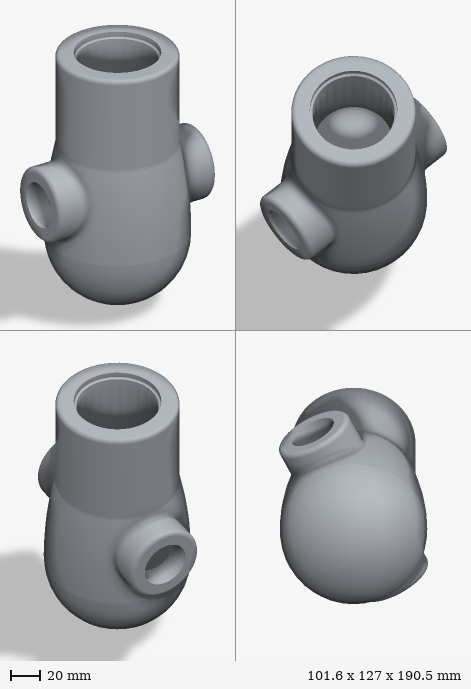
import math
import cadquery as cq

total_height = 190.5
body_radius = 50.8
neck_radius = 42.8
neck_length = 69.85
neck_base_z = total_height - neck_length
neck_rim_fillet = 3.2
neck_blend_radius = 8.0

boss_span = 127.0
boss_radius = 27.0
boss_axis_depth = 101.6
boss_axis_z = total_height - boss_axis_depth
boss_rim_fillet = 3.2
boss_root_fillet = 3.2

selection_margin = 1.0

taper_slope = 1 / 32
side_bore_mouth_radius = 16.4
side_bore_depth = 16.5

counterbore_radius = 30.2
counterbore_depth = 3.7
seat_depth = 0.8
neck_bore_radius = 28.4
neck_bore_length = 45.0


def make_body():
    """Revolve the outer profile about Z, blend the neck base and round the rim."""
    barrel_height = neck_base_z - body_radius
    radius_drop = body_radius - neck_radius
    barrel_arc_radius = (barrel_height**2 + radius_drop**2) / (2 * radius_drop)
    half_rise = barrel_height / 2
    barrel_mid_radius = body_radius - barrel_arc_radius + math.sqrt(barrel_arc_radius**2 - half_rise**2)
    diagonal = body_radius * math.sqrt(0.5)
    profile = (
        cq.Workplane("XZ")
        .moveTo(0, 0)
        .threePointArc((diagonal, body_radius - diagonal), (body_radius, body_radius))
        .threePointArc((barrel_mid_radius, body_radius + half_rise), (neck_radius, neck_base_z))
        .lineTo(neck_radius, total_height)
        .lineTo(0, total_height)
        .close()
    )
    body = profile.revolve(360, (0, 0, 0), (0, 1, 0))
    at_neck_base = cq.selectors.BoxSelector(
        (-body_radius, -body_radius, neck_base_z - selection_margin),
        (body_radius, body_radius, neck_base_z + selection_margin),
    )
    body = body.edges(at_neck_base).fillet(neck_blend_radius)
    return body.faces(">Z").edges().fillet(neck_rim_fillet)


def make_boss_bar():
    """Round bar along Y whose two ends form the side bosses."""
    return (
        cq.Workplane("XZ", origin=(0, 0, boss_axis_z))
        .circle(boss_radius)
        .extrude(boss_span / 2, both=True)
    )


def add_bosses(body):
    """Join the bosses to the body, blend their roots and round their rims."""
    joined = body.union(make_boss_bar())
    for side in (-1, 1):
        near_y = side * boss_radius / 2
        far_y = side * (boss_span / 2 - boss_rim_fillet)
        root_region = cq.selectors.BoxSelector(
            (-boss_radius, near_y, boss_axis_z - boss_radius),
            (boss_radius, far_y, boss_axis_z + boss_radius),
        )
        joined = joined.edges(root_region).edges("not %LINE").fillet(boss_root_fillet)
    return joined.faces("<Y or >Y").edges().fillet(boss_rim_fillet)


def tapered_plug(mouth_radius, depth, mouth_center, inward):
    """Cone narrowing inward at the pipe taper."""
    end_radius = mouth_radius - depth * taper_slope
    cone = cq.Solid.makeCone(mouth_radius, end_radius, depth, cq.Vector(*mouth_center), cq.Vector(*inward))
    return cq.Workplane(obj=cone)


def cut_side_bores(part):
    """Blind tapered bore in the end of each boss."""
    for side in (-1, 1):
        mouth = (0, side * boss_span / 2, boss_axis_z)
        part = part.cut(tapered_plug(side_bore_mouth_radius, side_bore_depth, mouth, (0, -side, 0)))
    return part


def cut_neck_bore(part):
    """Counterbore, conical seat and blind tapered bore down the neck."""
    down = cq.Vector(0, 0, -1)
    seat_top_z = total_height - counterbore_depth
    bore_mouth_z = seat_top_z - seat_depth
    counterbore = (
        cq.Workplane(origin=(0, 0, seat_top_z))
        .circle(counterbore_radius)
        .extrude(counterbore_depth)
    )
    seat = cq.Solid.makeCone(
        counterbore_radius, neck_bore_radius, seat_depth, cq.Vector(0, 0, seat_top_z), down
    )
    bore = tapered_plug(neck_bore_radius, neck_bore_length, (0, 0, bore_mouth_z), (0, 0, -1))
    return part.cut(counterbore).cut(cq.Workplane(obj=seat)).cut(bore)


result = cut_neck_bore(cut_side_bores(add_bosses(make_body())))